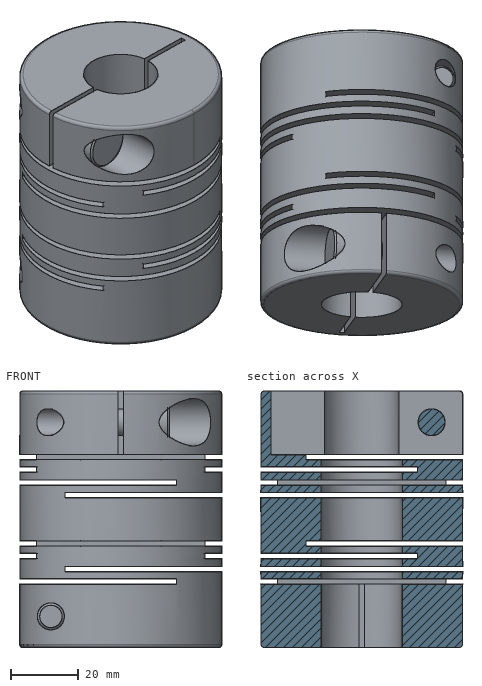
import cadquery as cq

LENGTH = 76.2
OUTER_DIAMETER = 60.0
EDGE_RADIUS = 1.0

TOP_BORE_DIAMETER = 22.0
BOTTOM_BORE_DIAMETER = 24.0

SLOT_WIDTH = 1.5
WEB_CHORD_DISTANCE = 16.5
END_SLOT_HEIGHT = 18.45
SLOT_HEIGHTS = (END_SLOT_HEIGHT, 14.8, 10.9, 7.2)

TOP_WEB_ANGLES = (90, 270, 0, 180)
BOTTOM_WEB_ANGLES = (0, 180, 270, 90)

SLIT_WIDTH = 1.5
BLIND_SLIT_REACH = 26.9

SCREW_END_DISTANCE = 9.3
SCREW_OFFSET = 20.7
SCREW_DIAMETER = 8.0
SCREW_TIP_X = -16.8
SCREW_TIP_CHAMFER = 0.7
HEAD_DIAMETER = 14.0
HEAD_SEAT_X = 6.5
HEAD_END_X = 14.4
HEAD_CHAMFER = 0.5

HALF_LENGTH = LENGTH / 2
OUTER_RADIUS = OUTER_DIAMETER / 2
HUB_BASE_HEIGHT = END_SLOT_HEIGHT + SLOT_WIDTH / 2
SCREW_HEIGHT = HALF_LENGTH - SCREW_END_DISTANCE


def swap_ends(shape):
    """Turn a top hub feature half a turn about the X = Y line, onto the bottom hub."""
    return shape.rotate((0, 0, 0), (1, 1, 0), 180)


def bored_cylinder():
    """Cylinder with rounded rims; only the top hub has the smaller bore."""
    body = cq.Workplane("XY").cylinder(LENGTH, OUTER_RADIUS).edges().fillet(EDGE_RADIUS)
    top_bore = cq.Workplane("XY").circle(TOP_BORE_DIAMETER / 2).extrude(HALF_LENGTH)
    bottom_bore = (
        cq.Workplane("XY")
        .workplane(offset=-HALF_LENGTH)
        .circle(BOTTOM_BORE_DIAMETER / 2)
        .extrude(HALF_LENGTH + HUB_BASE_HEIGHT)
    )
    return body.cut(top_bore).cut(bottom_bore)


def cross_slot(height, web_angle):
    """Slot through the whole section except the web lying in direction web_angle from +X."""
    reach = OUTER_DIAMETER
    return (
        cq.Workplane("XY")
        .box(reach, 2 * reach, SLOT_WIDTH)
        .translate((WEB_CHORD_DISTANCE - reach / 2, 0, height))
        .rotate((0, 0, 0), (0, 0, 1), web_angle)
    )


def top_slit():
    """Slit across the top hub, open at -Y and blind at +Y."""
    return cq.Workplane("XY").box(
        SLIT_WIDTH,
        OUTER_RADIUS + BLIND_SLIT_REACH,
        HALF_LENGTH - HUB_BASE_HEIGHT,
        centered=(True, False, False),
    ).translate((0, -OUTER_RADIUS, HUB_BASE_HEIGHT))


def along_screw(diameter, start_x, end_x):
    """Cylinder on the axis of the top clamping screw."""
    return (
        cq.Workplane("YZ", origin=(start_x, -SCREW_OFFSET, SCREW_HEIGHT))
        .circle(diameter / 2)
        .extrude(end_x - start_x)
    )


def top_screw_hole():
    """Through hole, widened on the +X side for the screw head."""
    through_hole = along_screw(SCREW_DIAMETER, -OUTER_RADIUS, OUTER_RADIUS)
    return through_hole.union(along_screw(HEAD_DIAMETER, HEAD_SEAT_X, OUTER_RADIUS))


def top_screw():
    """Screw whose tip ends inside the hole; the head stands slightly proud of the hub."""
    shank = along_screw(SCREW_DIAMETER, SCREW_TIP_X, HEAD_SEAT_X)
    head = along_screw(HEAD_DIAMETER, HEAD_SEAT_X, HEAD_END_X)
    shank = shank.faces("<X").chamfer(SCREW_TIP_CHAMFER)
    head = head.faces(">X").chamfer(HEAD_CHAMFER)
    return shank.union(head)


result = bored_cylinder()
for slot_height, top_angle, bottom_angle in zip(SLOT_HEIGHTS, TOP_WEB_ANGLES, BOTTOM_WEB_ANGLES):
    result = result.cut(cross_slot(slot_height, top_angle))
    result = result.cut(cross_slot(-slot_height, bottom_angle))
for hub_cut in (top_slit(), top_screw_hole()):
    result = result.cut(hub_cut).cut(swap_ends(hub_cut))
result = result.union(top_screw()).union(swap_ends(top_screw()))